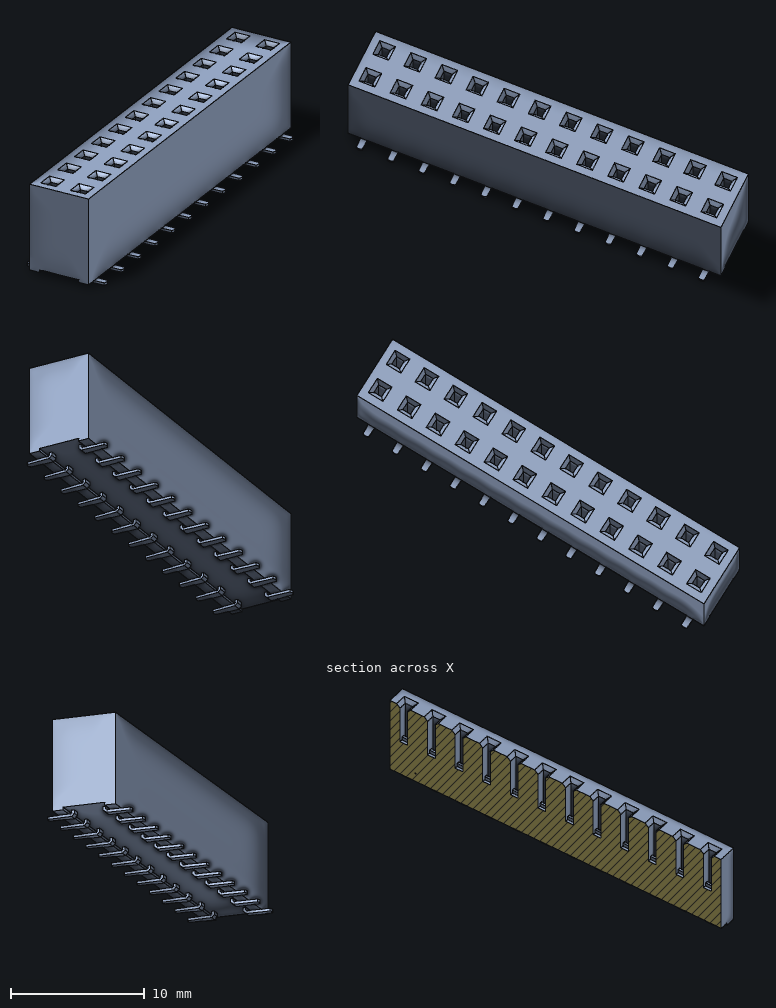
import cadquery as cq
import math

row_count = 12
body_length = 30.48
pitch = body_length / row_count
column_x = pitch / 2
body_width = 2 * pitch
height = 7.45
lip_bottom = 0.27
channel_top = 0.5
channel_width = 3.35

entry_size = 1.28
bore_size = 0.67
entry_depth = 0.3
bore_depth = 3.65

foot_span = 6.8
metal = 0.2
blade_width = 0.65
tip_width = 0.52
tip_bulge = 0.1
outer_bevel = 0.2
blade_inner_x = 1.15
blade_rise = 0.3

row_positions = [(row - (row_count - 1) / 2) * pitch for row in range(row_count)]


def make_housing():
    """Plain block with a channel along the middle of its underside."""
    block = (
        cq.Workplane("XY").workplane(offset=lip_bottom)
        .rect(body_width, body_length).extrude(height - lip_bottom)
    )
    channel = cq.Workplane("XY").rect(channel_width, body_length).extrude(channel_top)
    return block.cut(channel)


def make_socket():
    """Square funnel narrowing into a straight square bore, opening at the top."""
    top = cq.Workplane("XY").workplane(offset=height)
    bore = top.rect(bore_size, bore_size).extrude(-bore_depth)
    entry = (
        top.rect(entry_size, entry_size)
        .workplane(offset=-entry_depth).rect(bore_size, bore_size)
        .loft(ruled=True)
    )
    return bore.union(entry)


def make_contact():
    """Right-hand contact, centred on Y = 0."""
    foot_end = foot_span / 2
    blade_top = height - bore_depth + blade_rise
    blade_outer_x = blade_inner_x + metal
    inner_bevel = outer_bevel - metal * (2 - math.sqrt(2))
    side_profile = (
        cq.Workplane("XZ")
        .moveTo(foot_end, 0)
        .lineTo(blade_inner_x + outer_bevel, 0)
        .lineTo(blade_inner_x, outer_bevel)
        .lineTo(blade_inner_x, blade_top)
        .lineTo(blade_outer_x, blade_top)
        .lineTo(blade_outer_x, metal + inner_bevel)
        .lineTo(blade_outer_x + inner_bevel, metal)
        .lineTo(foot_end, metal)
        .close()
        .extrude(blade_width / 2, both=True)
    )
    taper_start_x = blade_outer_x + inner_bevel
    tip_corner_x = foot_end - tip_bulge
    plan_outline = (
        cq.Workplane("XY")
        .moveTo(0, -blade_width / 2)
        .lineTo(taper_start_x, -blade_width / 2)
        .lineTo(tip_corner_x, -tip_width / 2)
        .threePointArc((foot_end, 0), (tip_corner_x, tip_width / 2))
        .lineTo(taper_start_x, blade_width / 2)
        .lineTo(0, blade_width / 2)
        .close()
        .extrude(height)
    )
    return side_profile.intersect(plan_outline)


socket = make_socket()
right_contact = make_contact()
left_contact = right_contact.mirror("YZ")

sockets = []
contacts = []
for y in row_positions:
    sockets.append(socket.translate((column_x, y, 0)).val())
    sockets.append(socket.translate((-column_x, y, 0)).val())
    contacts.append(right_contact.translate((0, y, 0)).val())
    contacts.append(left_contact.translate((0, y, 0)).val())

housing = make_housing().val().cut(*sockets)
result = cq.Workplane(housing.fuse(*contacts))